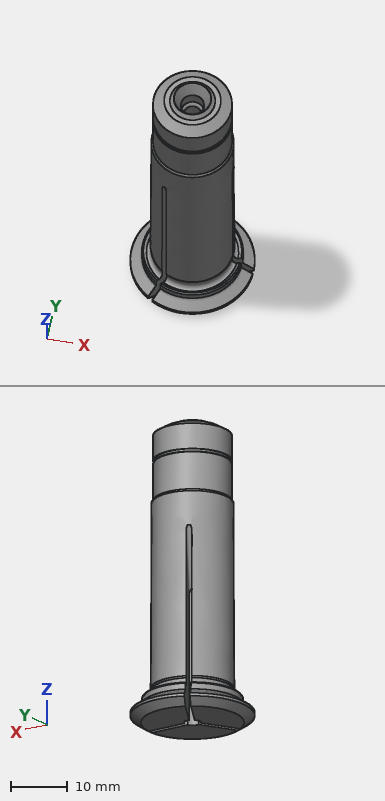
import cadquery as cq
import math

height = 55.3
rim_radius = 11.0

foot_radius = 9.1
rim_bottom = 1.25
rim_top = 1.8
rim_bevel = 0.1
collar_radius = 8.95
collar_bottom = 3.25
collar_root_radius = 9.3
collar_root = 2.95
collar_top = 4.65
collar_chamfer = 0.3

neck_radius = 7.3
neck_fillet = 0.85
dish_depth = 0.4
dish_bottom = collar_top - dish_depth
neck_top = 5.9

sleeve_bottom = 6.25
sleeve_bottom_radius = 14.9 / 2
sleeve_top_radius = 7.3
sleeve_top = 40.75

head_radius = 14.0 / 2
head_bottom = 41.2
groove_bottom = 48.1
groove_top = 48.7
groove_depth = 0.15
bevel_bottom = 53.4
nose_bottom = 54.6
bevel_top_radius = 10.0 / 2
nose_base_radius = 8.0 / 2
nose_top_radius = 3.3

bore_radius = 1.5
recess_radius = 2.05
recess_length = 2.2
cone_top_radius = 3.1
cone_depth = 1.95
rim_chamfer = 0.15

slot_count = 3
slot_width = 1.0
slot_rounding_share = 0.48
slot_rounding = slot_rounding_share * slot_width
slot_top = 34.4
slot_runout_angle = 60.0
cut_clearance = 0.55


def make_body():
    """Revolve the outer outline of the whole part about Z."""
    groove_radius = head_radius - groove_depth
    return (
        cq.Workplane("XZ")
        .moveTo(0, 0)
        .lineTo(foot_radius, 0)
        .lineTo(rim_radius - rim_bevel, rim_bottom - rim_bevel)
        .lineTo(rim_radius, rim_bottom)
        .lineTo(rim_radius, rim_top)
        .lineTo(rim_radius - rim_bevel, rim_top + rim_bevel)
        .lineTo(collar_root_radius, collar_root)
        .lineTo(collar_radius, collar_bottom)
        .lineTo(collar_radius, collar_top - collar_chamfer)
        .lineTo(collar_radius - collar_chamfer, collar_top)
        .lineTo(neck_radius + neck_fillet, dish_bottom)
        .radiusArc((neck_radius, dish_bottom + neck_fillet), neck_fillet)
        .lineTo(neck_radius, neck_top)
        .lineTo(sleeve_bottom_radius, sleeve_bottom)
        .lineTo(sleeve_top_radius, sleeve_top)
        .lineTo(head_radius, head_bottom)
        .lineTo(head_radius, groove_bottom)
        .lineTo(groove_radius, groove_bottom + groove_depth)
        .lineTo(groove_radius, groove_top)
        .lineTo(head_radius, groove_top)
        .lineTo(head_radius, bevel_bottom)
        .lineTo(bevel_top_radius, nose_bottom)
        .lineTo(nose_base_radius, nose_bottom)
        .lineTo(nose_top_radius, height)
        .lineTo(0, height)
        .close()
        .revolve(360, (0, 0, 0), (0, 1, 0))
    )


def make_bore():
    """Revolve the through bore with its recess, centring cone and rim chamfer."""
    cone_top = height - rim_chamfer
    cone_bottom = cone_top - cone_depth
    recess_bottom = cone_bottom - recess_length
    shoulder_height = recess_radius - bore_radius
    return (
        cq.Workplane("XZ")
        .moveTo(0, 0)
        .lineTo(bore_radius, 0)
        .lineTo(bore_radius, recess_bottom - shoulder_height)
        .lineTo(recess_radius, recess_bottom)
        .lineTo(recess_radius, cone_bottom)
        .lineTo(cone_top_radius, cone_top)
        .lineTo(cone_top_radius + rim_chamfer, height)
        .lineTo(0, height)
        .close()
        .revolve(360, (0, 0, 0), (0, 1, 0))
    )


def make_slot():
    """Slot on +X: its rounded floor drops from the sleeve surface to the axis."""
    slope = math.tan(math.radians(slot_runout_angle))
    reach = rim_radius + cut_clearance
    floor_at_axis = slot_top - sleeve_top_radius * slope
    slab = (
        cq.Workplane("XZ")
        .moveTo(0, -cut_clearance)
        .lineTo(reach, -cut_clearance)
        .lineTo(reach, floor_at_axis + reach * slope)
        .lineTo(0, floor_at_axis)
        .close()
        .extrude(slot_width / 2, both=True)
    )
    floor_edges = cq.selectors.ParallelDirSelector(cq.Vector(1, 0, slope))
    return slab.edges(floor_edges).fillet(slot_rounding)


result = make_body().cut(make_bore())
for index in range(slot_count):
    slot_angle = index * 360 / slot_count
    result = result.cut(make_slot().rotate((0, 0, 0), (0, 0, 1), slot_angle))